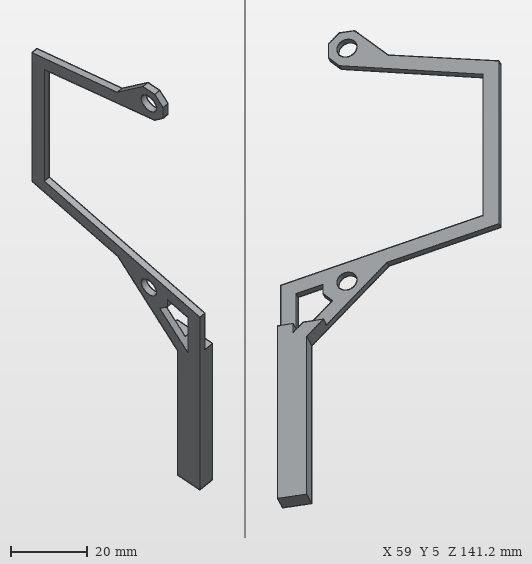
import cadquery as cq
import math

width = 59.0
height = 141.2
plate_thickness = 2.0
leg_thickness = 5.0

bar_width = 4.4
arm_slope = 0.225
bar_top = 125.5
bar_bottom = 75.8
inner_top = 122.1
inner_bottom = 79.0
upper_kink_x = 29.9
lower_kink_x = 30.2

hole_diameter = 5.4
hole_x = 41.1
lower_hole_z = 65.0
upper_eye_apothem = 5.01
lower_eye_apothem = 6.5
upper_hole_z = height - upper_eye_apothem

leg_width = 7.9
leg_top = 52.6
window_right = width - 4.2
window_top_right = 63.5
window_tip = 50.0

leg_left = width - leg_width
lower_kink_z = bar_bottom - arm_slope * lower_kink_x
gusset_foot_z = lower_kink_z - (leg_left - lower_kink_x)


def prism(points, thickness):
    """Extrude an XZ outline from the front face (Y = 0) toward +Y."""
    return cq.Workplane("XZ").polyline(points).close().extrude(-thickness)


def octagon(apothem, center_z):
    """Corners of an octagon around a hole, with flats facing X and Z."""
    radius = apothem / math.cos(math.pi / 8)
    angles = [math.radians(22.5 + 45 * i) for i in range(8)]
    return [(hole_x + radius * math.cos(a), center_z + radius * math.sin(a)) for a in angles]


def upper_strip():
    """Vertical bar and upper arm, ending in the flared upper eye."""
    eye = octagon(upper_eye_apothem, upper_hole_z)
    top_left, bottom_right = eye[2], eye[6]
    outline = [
        (0, bar_bottom),
        (0, bar_top),
        (upper_kink_x, bar_top + arm_slope * upper_kink_x),
        top_left,
        bottom_right,
        (bar_width, inner_top),
        (bar_width, inner_bottom),
    ]
    return prism(outline, plate_thickness).union(prism(eye, plate_thickness))


def lower_outline():
    """Lower arm, gusset and leg as one outline."""
    return [
        (0, bar_bottom),
        (bar_width, inner_bottom),
        (width, inner_bottom - arm_slope * (width - bar_width)),
        (width, 0),
        (leg_left, 0),
        (leg_left, gusset_foot_z),
        (lower_kink_x, lower_kink_z),
    ]


def window():
    """Triangular opening whose left corner stops at the lower eye."""
    rise = window_top_right - window_tip
    span = rise / (1 - arm_slope)
    apex = (window_right - span, window_tip + span)
    outline = [apex, (window_right, window_top_right), (window_right, window_tip)]
    eye = prism(octagon(lower_eye_apothem, lower_hole_z), leg_thickness)
    right_side = cq.Workplane("XY").box(width, leg_thickness, height, centered=False)
    right_side = right_side.translate((hole_x, 0, 0))
    return prism(outline, leg_thickness).cut(eye).intersect(right_side)


def holes():
    """Through holes at the centers of both eyes."""
    centers = [(hole_x, upper_hole_z), (hole_x, lower_hole_z)]
    return cq.Workplane("XZ").pushPoints(centers).circle(hole_diameter / 2).extrude(-plate_thickness)


leg_zone = cq.Workplane("XY").box(width, leg_thickness, leg_top, centered=False)
leg = prism(lower_outline(), leg_thickness).intersect(leg_zone)

result = upper_strip().union(prism(lower_outline(), plate_thickness)).union(leg)
result = result.cut(window()).cut(holes())